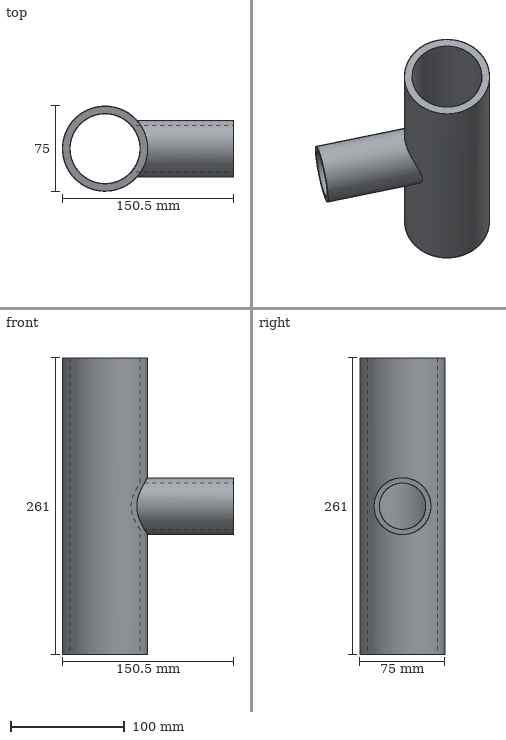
import cadquery as cq

main_diameter = 75.0
main_wall = 6.8
main_length = 261.0

branch_diameter = 50.0
branch_wall = 4.6
branch_reach = 113.0


def upright_cylinder(diameter):
    """Cylinder along Z over the full length of the main pipe."""
    return cq.Workplane("XY").circle(diameter / 2).extrude(main_length / 2, both=True)


def branch_cylinder(diameter):
    """Cylinder along +X from the main pipe axis to the branch end."""
    return cq.Workplane("YZ").circle(diameter / 2).extrude(branch_reach)


def make_tee():
    """Reducing tee: both pipes joined, then both bores cut so that they meet."""
    body = upright_cylinder(main_diameter).union(branch_cylinder(branch_diameter))
    main_bore = upright_cylinder(main_diameter - 2 * main_wall)
    branch_bore = branch_cylinder(branch_diameter - 2 * branch_wall)
    return body.cut(main_bore).cut(branch_bore)


result = make_tee()